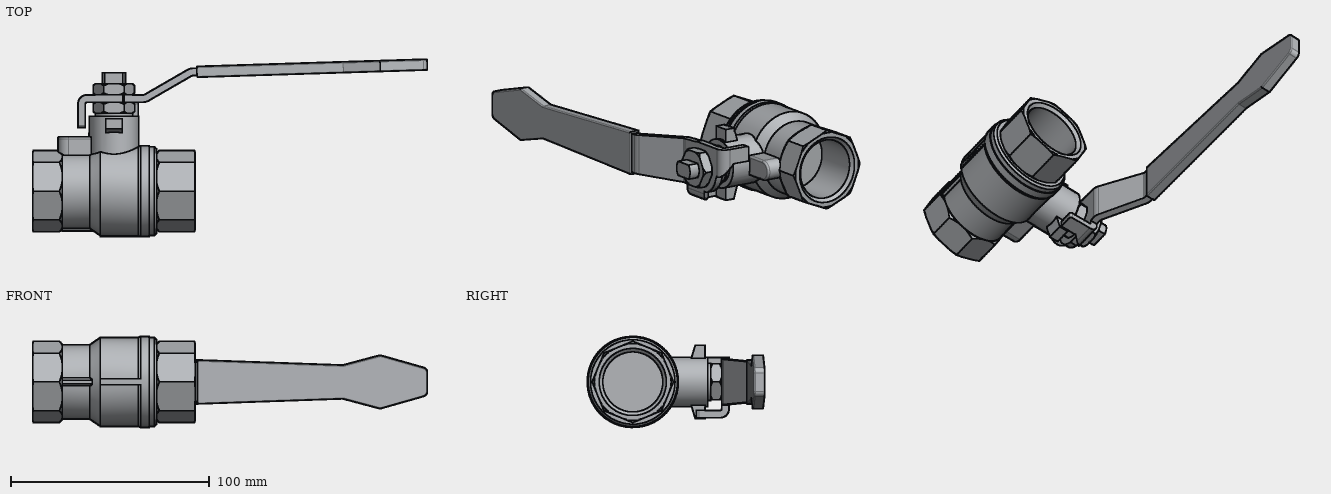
import cadquery as cq
import math


overall_length = 198.9

body_length = 82.0
end_x = body_length / 2
octagon_corners = 41.0
octagon_inner_chamfer = 1.4
octagon_face_diameter = 38.5
octagon_face_chamfer = 0.4
left_octagon_end_x = -26.0
right_octagon_start_x = 21.5
neck_diameter = 37.5
cone_start_x = -12.1
shell_start_x = -6.8
shell_diameter = 45.0
rim_slope_start_x = 12.3
rim_start_x = 13.5
rim_end_x = 17.7
rim_diameter = 46.0
shell_chamfer = 1.2

bore_diameter = 30.2
bore_mouth_diameter = 33.8
bore_depth = 25.9

rib_reach = 20.0
rib_base_width = 4.0
rib_crest_width = 1.5
rib_end_x = -11.0
band_width = 3.0

pad_width = 10.3
pad_end_x = -28.2
pad_top_y = 27.5
pad_bottom_y = 17.1
pad_edge_radius = 1.0

housing_diameter = 25.0
housing_top_y = 37.8
lug_width = 8.4
lug_tip_z = 18.5
lug_root_z = 10.0
lug_top_y = 36.4
lug_tip_bottom_y = 31.5
lug_root_bottom_y = 28.8

collar_diameter = 18.9
nut_corners = 20.9
nut_chamfer = 1.0
lower_nut_start_y = 39.2
upper_nut_height = 5.5
stem_diameter = 11.7
stem_flats = 7.4
stem_top_y = 59.7

lever_thickness = 3.8
lever_bottom_y = 44.8
lever_middle_y = lever_bottom_y + lever_thickness / 2
lever_top_y = lever_bottom_y + lever_thickness
hub_half_width = 12.3
hub_diameter = 26.3
lever_tip_half_width = 10.0
lower_knee_x = 15.7
rise_angle = 30.0
bend_inner_radius = 2.0
bend_outer_radius = bend_inner_radius + lever_thickness

tab_reach = 18.1
tab_inner_edge = 4.5
tab_bottom_y = 32.0
tab_outer_radius = 4.5
tab_inner_radius = tab_outer_radius - lever_thickness
tab_slope_bottom_y = 41.2
tab_slope_top = -2.4
tab_corner_radius = 1.2

grip_start_x = 41.8
grip_thickness = 5.5
grip_angle = 1.8
grip_top_y = 66.53
grip_start_half_width = 11.1
grip_waist_x = 115.4
grip_waist_half_width = 8.5
grip_bulge_x = 134.0
grip_bulge_half_width = 13.5
grip_tip_half_width = 6.8
grip_corner_radius = 2.8
grip_edge_radius = 0.5
grip_lean = (grip_thickness / 2 - grip_edge_radius) * math.sin(math.radians(grip_angle))
grip_end_x = overall_length - end_x - grip_lean


def x_cylinder(diameter, start, end):
    return cq.Workplane("YZ").workplane(offset=start).circle(diameter / 2).extrude(end - start)


def y_plane(y):
    """Plane facing +Y whose local x is X and whose local y is -Z."""
    return cq.Workplane("XZ", origin=(0, y, 0))


def y_cylinder(diameter, start, end):
    return y_plane(start).circle(diameter / 2).extrude(start - end)


def octagon_end(inner_x, side):
    """Octagon at the -X (side = -1) or +X (side = 1) end, its corners chamfered at both faces."""
    length = side * end_x - inner_x
    prism = cq.Workplane("YZ").workplane(offset=inner_x).polygon(8, octagon_corners).extrude(length)
    corner_radius = octagon_corners / 2
    limit = (
        cq.Workplane("XY")
        .polyline([
            (inner_x, 0),
            (inner_x, corner_radius - octagon_inner_chamfer),
            (inner_x + side * octagon_inner_chamfer, corner_radius),
            (side * (end_x - octagon_face_chamfer), corner_radius),
            (side * end_x, octagon_face_diameter / 2),
            (side * end_x, 0),
        ])
        .close()
        .revolve(360, (0, 0, 0), (1, 0, 0))
    )
    return prism.intersect(limit)


def make_shell():
    neck_radius = neck_diameter / 2
    shell_radius = shell_diameter / 2
    rim_radius = rim_diameter / 2
    return (
        cq.Workplane("XY")
        .moveTo(left_octagon_end_x, 0)
        .lineTo(left_octagon_end_x, neck_radius)
        .lineTo(cone_start_x, neck_radius)
        .lineTo(shell_start_x, shell_radius)
        .lineTo(rim_slope_start_x, shell_radius)
        .lineTo(rim_start_x, rim_radius)
        .lineTo(rim_end_x, rim_radius)
        .lineTo(rim_end_x, shell_radius)
        .lineTo(right_octagon_start_x - shell_chamfer, shell_radius)
        .lineTo(right_octagon_start_x, shell_radius - shell_chamfer)
        .lineTo(right_octagon_start_x, 0)
        .close()
        .revolve(360, (0, 0, 0), (1, 0, 0))
    )


def make_ribs():
    rib = (
        cq.Workplane("YZ")
        .workplane(offset=left_octagon_end_x)
        .polyline([
            (0, -rib_base_width / 2),
            (-neck_diameter / 2, -rib_base_width / 2),
            (-rib_reach, -rib_crest_width / 2),
            (-rib_reach, rib_crest_width / 2),
            (-neck_diameter / 2, rib_base_width / 2),
            (0, rib_base_width / 2),
        ])
        .close()
        .extrude(rib_end_x - left_octagon_end_x)
    )
    band_strip = cq.Workplane("XY").box(
        rim_start_x - shell_start_x, rim_diameter, band_width, centered=(False, False, True)
    ).translate((shell_start_x, -rim_diameter, 0))
    band = x_cylinder(rim_diameter, shell_start_x, rim_start_x).intersect(band_strip)
    return rib.union(band)


def make_pad():
    radius = pad_width / 2
    round_end = y_cylinder(pad_width, pad_bottom_y, pad_top_y).translate((pad_end_x + radius, 0, 0))
    length = -pad_end_x - radius
    height = pad_top_y - pad_bottom_y
    block = cq.Workplane("XY").box(length, height, pad_width, centered=(False, False, True))
    pad = round_end.union(block.translate((-length, pad_bottom_y, 0)))
    return pad.faces(">Y").edges().fillet(pad_edge_radius)


def make_lug():
    return (
        cq.Workplane("YZ")
        .polyline([
            (lug_top_y, lug_root_z),
            (lug_top_y, lug_tip_z),
            (lug_tip_bottom_y, lug_tip_z),
            (lug_root_bottom_y, lug_root_z),
        ])
        .close()
        .extrude(lug_width / 2, both=True)
    )


def make_nut(start, end):
    blank = y_plane(start).polygon(6, nut_corners).extrude(start - end)
    return blank.intersect(y_cylinder(nut_corners, start, end).faces("<Y or >Y").chamfer(nut_chamfer))


def make_stem():
    upper_nut_top_y = lever_top_y + upper_nut_height
    stem = y_cylinder(stem_diameter, housing_top_y, stem_top_y)
    flats = cq.Workplane("XY").box(
        stem_diameter, stem_top_y, stem_flats, centered=(True, False, True)
    )
    return (
        stem.intersect(flats)
        .union(y_cylinder(collar_diameter, housing_top_y, lower_nut_start_y))
        .union(make_nut(lower_nut_start_y, lever_bottom_y))
        .union(make_nut(lever_top_y, upper_nut_top_y))
    )


def grip_middle_y(x):
    slope = math.tan(math.radians(grip_angle))
    return grip_top_y - grip_thickness / 2 - (grip_end_x - x) * slope


def make_lever_strip():
    """Plate bent up from the hub to the grip, narrowing towards the grip."""
    rise_slope = math.tan(math.radians(rise_angle))
    grip_slope = math.tan(math.radians(grip_angle))
    upper_knee_x = (
        grip_middle_y(0) - lever_middle_y + lower_knee_x * rise_slope
    ) / (rise_slope - grip_slope)
    upper_knee_y = grip_middle_y(upper_knee_x)

    half = lever_thickness / 2
    lower_miter = half * math.tan(math.radians(rise_angle / 2))
    upper_bisector = math.radians((rise_angle + grip_angle) / 2)
    upper_miter = half / math.cos(math.radians((rise_angle - grip_angle) / 2))
    shift_x = upper_miter * math.sin(upper_bisector)
    shift_y = upper_miter * math.cos(upper_bisector)
    lower_knee_outside = (lower_knee_x + lower_miter, lever_bottom_y)
    lower_knee_inside = (lower_knee_x - lower_miter, lever_top_y)
    upper_knee_inside = (upper_knee_x + shift_x, upper_knee_y - shift_y)
    upper_knee_outside = (upper_knee_x - shift_x, upper_knee_y + shift_y)
    profile = (
        cq.Workplane("XY")
        .polyline([
            (0, lever_bottom_y),
            lower_knee_outside,
            upper_knee_inside,
            (grip_waist_x, grip_middle_y(grip_waist_x) - half),
            (grip_waist_x, grip_middle_y(grip_waist_x) + half),
            upper_knee_outside,
            lower_knee_inside,
            (0, lever_top_y),
        ])
        .close()
        .extrude(hub_half_width, both=True)
    )
    bends = [
        (lower_knee_outside, bend_outer_radius),
        (lower_knee_inside, bend_inner_radius),
        (upper_knee_inside, bend_inner_radius),
        (upper_knee_outside, bend_outer_radius),
    ]
    for (x, y), radius in bends:
        knee_edge = cq.selectors.NearestToPointSelector((x, y, 0))
        profile = profile.edges("|Z").edges(knee_edge).fillet(radius)
    outline = (
        y_plane(0)
        .polyline([
            (0, -hub_half_width),
            (grip_start_x, -lever_tip_half_width),
            (grip_waist_x, -grip_waist_half_width / 2),
            (grip_waist_x, grip_waist_half_width / 2),
            (grip_start_x, lever_tip_half_width),
            (0, hub_half_width),
        ])
        .close()
        .extrude(-grip_top_y)
    )
    return profile.intersect(outline)


def make_hub():
    """Round part of the plate around the stem, cut flat at the plate edges."""
    sides = cq.Workplane("XY").box(hub_diameter, 2 * lever_top_y, 2 * hub_half_width)
    return y_cylinder(hub_diameter, lever_bottom_y, lever_top_y).intersect(sides)


def make_tab():
    """Tab folded down at the -X end of the hub, with a sloping lower edge."""
    fold = (
        cq.Workplane("XY")
        .moveTo(0, lever_top_y)
        .lineTo(tab_outer_radius - tab_reach, lever_top_y)
        .radiusArc((-tab_reach, lever_top_y - tab_outer_radius), -tab_outer_radius)
        .lineTo(-tab_reach, tab_bottom_y)
        .lineTo(lever_thickness - tab_reach, tab_bottom_y)
        .lineTo(lever_thickness - tab_reach, lever_bottom_y - tab_inner_radius)
        .radiusArc((tab_outer_radius - tab_reach, lever_bottom_y), tab_inner_radius)
        .lineTo(0, lever_bottom_y)
        .close()
        .extrude(hub_half_width, both=True)
    )
    outline = (
        cq.Workplane("YZ")
        .polyline([
            (tab_bottom_y, hub_half_width),
            (tab_bottom_y, tab_inner_edge),
            (tab_slope_bottom_y, tab_inner_edge),
            (lever_top_y, tab_slope_top),
            (lever_top_y, hub_half_width),
        ])
        .close()
        .extrude(-tab_reach)
        .edges("(|X) and (<Y) and (>Z)")
        .fillet(tab_corner_radius)
    )
    return fold.intersect(outline)


def make_grip():
    blank = (
        y_plane(0)
        .polyline([
            (grip_start_x, grip_start_half_width),
            (grip_waist_x, grip_waist_half_width),
            (grip_bulge_x, grip_bulge_half_width),
            (grip_end_x, grip_tip_half_width),
            (grip_end_x, -grip_tip_half_width),
            (grip_bulge_x, -grip_bulge_half_width),
            (grip_waist_x, -grip_waist_half_width),
            (grip_start_x, -grip_start_half_width),
        ])
        .close()
        .extrude(grip_thickness / 2, both=True)
        .edges("|Y and >X")
        .fillet(grip_corner_radius)
        .faces("<Y or >Y")
        .edges()
        .fillet(grip_edge_radius)
    )
    pivot = (grip_end_x, 0, 0)
    tilted = blank.rotate(pivot, (grip_end_x, 0, 1), grip_angle)
    return tilted.translate((0, grip_middle_y(grip_end_x), 0))


def make_bore(side):
    """Blind bore with a conical mouth at the -X (side = -1) or +X (side = 1) end."""
    mouth_depth = (bore_mouth_diameter - bore_diameter) / 2
    return (
        cq.Workplane("XY")
        .polyline([
            (side * end_x, 0),
            (side * end_x, bore_mouth_diameter / 2),
            (side * (end_x - mouth_depth), bore_diameter / 2),
            (side * (end_x - bore_depth), bore_diameter / 2),
            (side * (end_x - bore_depth), 0),
        ])
        .close()
        .revolve(360, (0, 0, 0), (1, 0, 0))
    )


valve = (
    make_shell()
    .union(octagon_end(left_octagon_end_x, -1))
    .union(octagon_end(right_octagon_start_x, 1))
    .union(make_ribs())
    .union(make_pad())
    .union(y_cylinder(housing_diameter, 0, housing_top_y))
)
for lug_angle in (0, 180):
    valve = valve.union(make_lug().rotate((0, 0, 0), (0, 1, 0), lug_angle))
for bore_side in (-1, 1):
    valve = valve.cut(make_bore(bore_side))

first_tab = make_tab()
second_tab = first_tab.mirror("YZ").rotate((0, 0, 0), (0, 1, 0), 90)
lever = (
    make_lever_strip()
    .union(make_hub())
    .union(first_tab)
    .union(second_tab)
    .union(make_grip())
)

result = valve.union(make_stem()).union(lever)